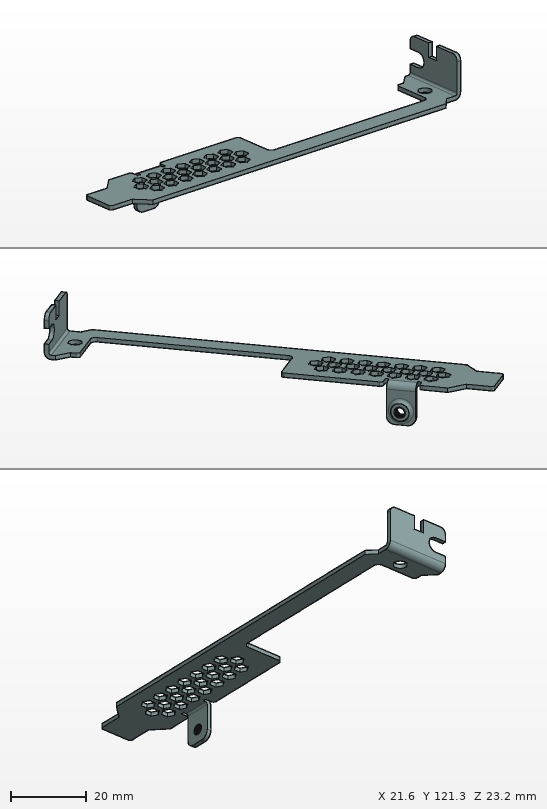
import cadquery as cq
import math


overall_width = 21.59
overall_length = 121.28
overall_height = 23.2
thickness = 1.27

flange_width = 19.05
flange_rise = 11.43
flange_bend_radius = 0.7
flange_corner_radius = 1.8
key_notch_left = 7.55
key_notch_width = 3.1
key_notch_depth = 4.1
screw_slot_width = 4.42
screw_slot_depth = 5.6
screw_slot_drop = 6.2

head_left = 3.2
head_length = 8.8
head_left_bevel_start = 3.05
head_left_bevel_end = 6.3
head_right_bevel_start = 4.95
head_right_bevel_end = 7.4
head_hole_diameter = 3.7
head_hole_x = 11.0
head_hole_inset = 5.55

strip_width = 5.55
panel_left = 3.05
panel_top = 57.25
window_radius = 1.5
corner_radius = 0.9

tongue_left = 7.35
tongue_width = 10.25
tongue_length = 7.5
shoulder_left_x = 3.3
shoulder_left_y = 11.6
shoulder_right_y = 11.25
tongue_corner_radius = 0.8

vent_across_flats = 3.4
vent_pitch = 5.0
vent_column_spacing = 3.5
vent_center_x = 12.4
vent_center_y = 32.65
middle_vent_count = 8

tab_face_x = 3.3
tab_width = 8.0
tab_center_y = 24.4
tab_bend_radius = 0.65
tab_corner_radius = 2.3
tab_drop = overall_height - flange_rise
relief_width = 0.95
relief_right = 5.95
relief_corner_radius = 0.4

boss_diameter = 5.0
boss_height = 1.3
boss_root_radius = 1.0
boss_drop = 7.75
boss_hole_diameter = 2.53
boss_thread_diameter = 3.09
thread_pitch = 0.5
thread_flank_angle = math.radians(30)


def rounded_outline(plane, corners):
    """Closed wire through corners given as (u, v, radius); radius 0 is a sharp corner."""
    path = []
    for i, (u, v, radius) in enumerate(corners):
        corner = cq.Vector(u, v)
        to_previous = (cq.Vector(*corners[i - 1][:2]) - corner).normalized()
        to_next = (cq.Vector(*corners[(i + 1) % len(corners)][:2]) - corner).normalized()
        half_angle = to_previous.getAngle(to_next) / 2
        setback = radius / math.tan(half_angle)
        bisector = (to_previous + to_next).normalized()
        middle = corner + bisector * (radius / math.sin(half_angle) - radius)
        path.append((corner + to_previous * setback, middle, corner + to_next * setback, radius))

    outline = cq.Workplane(plane).moveTo(*path[0][2].toTuple()[:2])
    for start, middle, end, radius in path[1:] + path[:1]:
        outline = outline.lineTo(*start.toTuple()[:2])
        if radius > 0:
            outline = outline.threePointArc(middle.toTuple()[:2], end.toTuple()[:2])
    return outline.close()


def make_plate():
    """Flat plate, ending where the flange bend begins."""
    bend_y = overall_length - thickness - flange_bend_radius
    strip_left = overall_width - strip_width
    head_bottom = overall_length - head_length
    tab_top = tab_center_y + tab_width / 2
    tab_bottom = tab_center_y - tab_width / 2
    tab_bend_x = tab_face_x + thickness + tab_bend_radius
    corners = [
        (0, bend_y, 0),
        (0, overall_length - head_left_bevel_start, 0),
        (head_left, overall_length - head_left_bevel_end, 0),
        (head_left, head_bottom, corner_radius),
        (strip_left, head_bottom, window_radius),
        (strip_left, panel_top, window_radius),
        (panel_left, panel_top, corner_radius),
        (panel_left, tab_top + relief_width, corner_radius),
        (relief_right, tab_top + relief_width, relief_corner_radius),
        (relief_right, tab_top, relief_corner_radius),
        (tab_bend_x, tab_top, 0),
        (tab_bend_x, tab_bottom, 0),
        (relief_right, tab_bottom, 0),
        (relief_right, tab_bottom - relief_width, 0),
        (shoulder_left_x, tab_bottom - relief_width, corner_radius),
        (shoulder_left_x, shoulder_left_y, 0),
        (tongue_left, tongue_length, 0),
        (tongue_left, 0, tongue_corner_radius),
        (tongue_left + tongue_width, 0, tongue_corner_radius),
        (tongue_left + tongue_width, tongue_length, 0),
        (overall_width, shoulder_right_y, 0),
        (overall_width, overall_length - head_right_bevel_end, 0),
        (flange_width, overall_length - head_right_bevel_start, 0),
        (flange_width, bend_y, 0),
    ]
    plate = rounded_outline("XY", corners).extrude(-thickness)
    hole = (
        cq.Workplane("XY")
        .center(head_hole_x, overall_length - head_hole_inset)
        .circle(head_hole_diameter / 2)
        .extrude(-thickness)
    )
    return plate.cut(hole)


def make_vents():
    """Hexagonal cutters; the side columns are one vent shorter and half a pitch offset."""
    columns = [
        (-vent_column_spacing, middle_vent_count - 1),
        (0, middle_vent_count),
        (vent_column_spacing, middle_vent_count - 1),
    ]
    centers = []
    for offset, count in columns:
        for i in range(count):
            y = vent_center_y + (i - (count - 1) / 2) * vent_pitch
            centers.append((vent_center_x + offset, y))
    across_corners = vent_across_flats / math.cos(math.radians(30))
    return cq.Workplane("XY").pushPoints(centers).polygon(6, across_corners).extrude(-thickness)


def make_bend_profile(plane, bend, along, inner_radius, reach):
    """Profile of a quarter bend and its straight leg, up to the height `reach`.

    `bend` is where the flat sheet ends and `along` (+1 or -1) is the way the bend continues.
    The flat sheet lies below height 0 and the leg rises above it.
    """
    outer_radius = inner_radius + thickness
    inner_face = bend + along * inner_radius
    outer_face = bend + along * outer_radius
    diagonal = math.sqrt(0.5)

    def arc_middle(radius):
        return bend + along * radius * diagonal, inner_radius - radius * diagonal

    return (
        cq.Workplane(plane)
        .moveTo(bend, 0)
        .threePointArc(arc_middle(inner_radius), (inner_face, inner_radius))
        .lineTo(inner_face, reach)
        .lineTo(outer_face, reach)
        .lineTo(outer_face, inner_radius)
        .threePointArc(arc_middle(outer_radius), (bend, -thickness))
        .close()
    )


def make_flange():
    """Upright flange and its bend, with a key notch and an open screw slot."""
    bend_y = overall_length - thickness - flange_bend_radius
    flange = make_bend_profile("YZ", bend_y, 1, flange_bend_radius, flange_rise)
    flange = flange.extrude(flange_width).edges("|Y and >Z").fillet(flange_corner_radius)

    back = cq.Workplane("XZ", origin=(0, overall_length, 0))
    notch = (
        back.center(key_notch_left + key_notch_width / 2, flange_rise)
        .rect(key_notch_width, 2 * key_notch_depth)
        .extrude(thickness)
    )
    slot = (
        back.center(0, flange_rise - screw_slot_drop)
        .slot2D(2 * screw_slot_depth, screw_slot_width)
        .extrude(thickness)
    )
    return flange.cut(notch).cut(slot)


def make_threaded_bore():
    """Cutter for the tab bore: a cylinder at the thread crests with a ring for each thread groove."""
    crest_radius = boss_hole_diameter / 2
    root_radius = boss_thread_diameter / 2
    groove_half_width = (root_radius - crest_radius) * math.tan(thread_flank_angle)
    bore_length = boss_height + thickness
    bore_end = bore_length + thread_pitch
    bore_plane = cq.Plane(
        origin=(tab_face_x - boss_height, tab_center_y, -boss_drop), xDir=(0, 1, 0), normal=(0, 0, -1)
    )
    profile = cq.Workplane(bore_plane).moveTo(0, -groove_half_width)
    for i in range(math.floor(bore_length / thread_pitch) + 1):
        groove_position = i * thread_pitch
        profile = (
            profile.lineTo(crest_radius, groove_position - groove_half_width)
            .lineTo(root_radius, groove_position)
            .lineTo(crest_radius, groove_position + groove_half_width)
        )
    return (
        profile.lineTo(crest_radius, bore_end)
        .lineTo(0, bore_end)
        .close()
        .revolve(360, (0, 0), (0, 1))
    )


def make_tab():
    """Down-turned tab and its bend, with rounded lower corners and a threaded boss."""
    bend_x = tab_face_x + thickness + tab_bend_radius
    tab_plane = cq.Plane(
        origin=(0, tab_center_y - tab_width / 2, -thickness), xDir=(1, 0, 0), normal=(0, 1, 0)
    )
    tab = make_bend_profile(tab_plane, bend_x, -1, tab_bend_radius, tab_drop - thickness)
    tab = tab.extrude(tab_width).edges("|X and <Z").fillet(tab_corner_radius)

    boss_radius = boss_diameter / 2
    flare_radius = boss_radius + boss_root_radius
    diagonal = math.sqrt(0.5)
    flare_middle = (
        flare_radius - boss_root_radius * diagonal,
        boss_root_radius * (1 - diagonal),
    )
    boss_plane = cq.Plane(
        origin=(tab_face_x, tab_center_y, -boss_drop), xDir=(0, 1, 0), normal=(0, 0, 1)
    )
    boss = (
        cq.Workplane(boss_plane)
        .lineTo(flare_radius, 0)
        .threePointArc(flare_middle, (boss_radius, boss_root_radius))
        .lineTo(boss_radius, boss_height)
        .lineTo(0, boss_height)
        .close()
        .revolve(360, (0, 0), (0, 1))
    )
    return tab.union(boss).cut(make_threaded_bore())


result = make_plate().cut(make_vents()).union(make_flange()).union(make_tab())